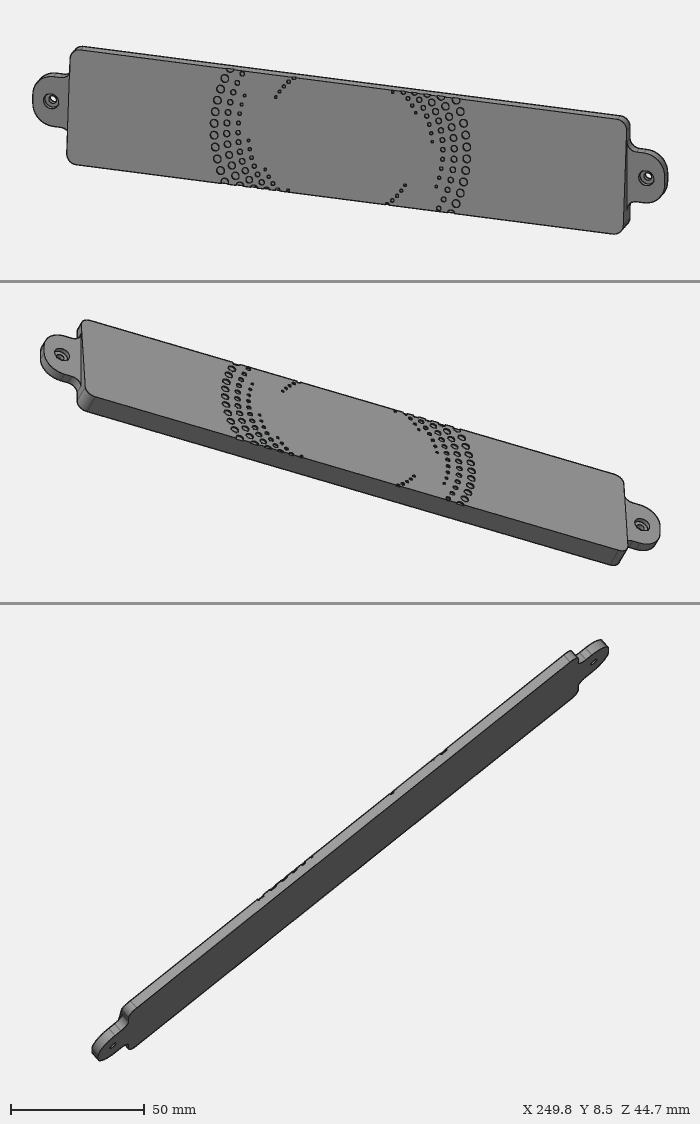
import cadquery as cq
import math

plate_length = 220.0
height = 44.7
top_thickness = 3.7
bottom_thickness = 8.5
plate_corner_radius = 4.0

total_length = 249.8
ear_width = 20.2
ear_thickness = top_thickness
ear_corner_radius = 8.2
ear_root_radius = 3.7

screw_inset = 7.2
screw_hole_diameter = 3.0
counterbore_diameter = 6.0
counterbore_depth = 1.7

pattern_center_x = -2.5
dot_depth = 0.5
dots_per_turn = 68
dot_step = 360 / dots_per_turn
outer_ring_radius = 50.0
ring_ratio = 0.9
dot_arcs = [
    (0, -27.1, 11, 3.0, 3.0),
    (1, -28.2, 12, 1.7, 3.0),
    (2, -18.6, 11, 1.0, 2.7),
    (3, 6.9, 7, 1.0, 2.2),
    (4, 26.9, 4, 1.0, 1.7),
    (5, 47.5, 1, 1.0, 1.0),
    (5, -49.3, 5, 1.5, 1.0),
]


def back_plane():
    """Sketch plane on the flat back; extrusions run toward the front (-Y)."""
    return cq.Workplane("XZ")


def wedge_plate():
    """Rounded plate whose front face leans from a thin top to a thick bottom."""
    rounded = back_plane().rect(plate_length, height).extrude(bottom_thickness)
    rounded = rounded.edges("|Y").fillet(plate_corner_radius)
    profile = [
        (0, -height / 2),
        (-bottom_thickness, -height / 2),
        (-top_thickness, height / 2),
        (0, height / 2),
    ]
    wedge = cq.Workplane("YZ").polyline(profile).close().extrude(plate_length / 2, both=True)
    return rounded.intersect(wedge)


def ears():
    """Rounded ears joined by a core inside the plate, with concave fillets at their roots."""
    strip = back_plane().rect(total_length, ear_width).extrude(ear_thickness)
    strip = strip.edges("|Y").fillet(ear_corner_radius)
    core_height = ear_width + 4 * ear_root_radius
    core = back_plane().rect(plate_length, core_height).extrude(ear_thickness)
    strip = strip.union(core)
    reach = ear_root_radius / 2
    for x in (-plate_length / 2, plate_length / 2):
        for z in (-ear_width / 2, ear_width / 2):
            around_root = cq.selectors.BoxSelector(
                (x - reach, -ear_thickness, z - reach),
                (x + reach, 0, z + reach),
            )
            strip = strip.edges("|Y").edges(around_root).fillet(ear_root_radius)
    return strip


def screw_holes():
    """Cutters for the through holes and the counterbores that open to the front."""
    hole_x = total_length / 2 - screw_inset
    centers = [(-hole_x, 0), (hole_x, 0)]
    through = back_plane().pushPoints(centers).circle(screw_hole_diameter / 2).extrude(ear_thickness)
    bore_floor = back_plane().workplane(offset=ear_thickness - counterbore_depth)
    bore = bore_floor.pushPoints(centers).circle(counterbore_diameter / 2).extrude(counterbore_depth)
    return through.union(bore)


def dot_cutters():
    """Short cylinders square to the sloped face; every arc repeats after half a turn."""
    slope = math.atan2(bottom_thickness - top_thickness, height)
    front_face = cq.Plane(
        origin=(pattern_center_x, -(top_thickness + bottom_thickness) / 2, 0),
        xDir=(1, 0, 0),
        normal=(0, -math.cos(slope), math.sin(slope)),
    )
    cutters = []
    for ring, first_angle, count, first_diameter, last_diameter in dot_arcs:
        radius = outer_ring_radius * ring_ratio**ring
        growth = (last_diameter - first_diameter) / max(count - 1, 1)
        for i in range(count):
            diameter = first_diameter + growth * i
            for half_turn in (0, 180):
                angle = math.radians(first_angle + i * dot_step + half_turn)
                center = (radius * math.cos(angle), radius * math.sin(angle))
                dot = cq.Workplane(front_face).center(*center).circle(diameter / 2)
                cutters.append(dot.extrude(dot_depth, both=True).val())
    return cq.Workplane(cq.Compound.makeCompound(cutters))


result = wedge_plate().union(ears()).cut(screw_holes()).cut(dot_cutters())